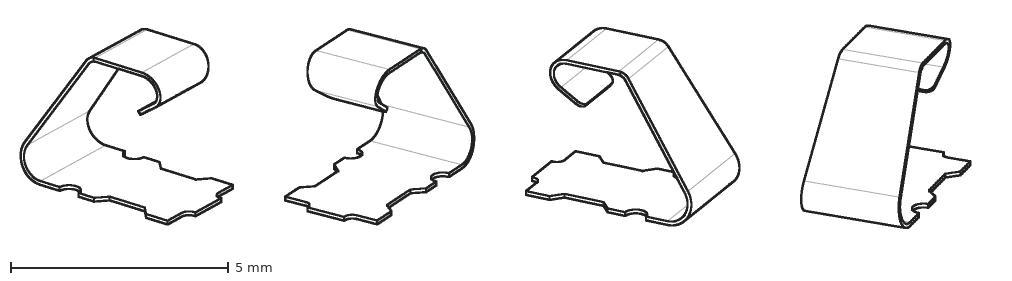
import cadquery as cq
import math

length = 4.5
width = 2.5
height = 3.5
thickness = 0.1

heel_radius = 0.6
shoulder_radius = 0.3
shoulder_x = 1.985
hook_radius = 0.475
hook_x = 3.335
hook_tail_angle = 35.3
hook_tail_length = 0.675
hook_corner_radius = 0.2

top_width = 2.0
edge_band = 0.02
blend_start = 1.945
blend_end = 2.045
hook_taper = 0.17

notch_x = 1.425
notch_radius = 0.27
waist_start = 2.15
waist_end = 3.65
waist_run = 0.245
waist_depth = 0.27
tab_width = 1.0
tab_corner_radius = 0.2
tab_start = 4.265


def polar(center, radius, angle):
    """Point in the XZ plane at an angle in degrees from +X."""
    a = math.radians(angle)
    return (center[0] + radius * math.cos(a), center[1] + radius * math.sin(a))


heel = (heel_radius, heel_radius)
shoulder = (shoulder_x, height - shoulder_radius)
hook = (hook_x, height - hook_radius)
rise = shoulder[1] - heel[1]
run = shoulder[0] - heel[0]
wall_angle = math.degrees(
    math.atan2(rise, run) - math.asin((heel_radius - shoulder_radius) / math.hypot(rise, run))
)
wall_normal = wall_angle + 90
tail_normal = hook_tail_angle - 90
tail_direction = hook_tail_angle + 180


def tail_end(inset):
    """End of the hook tail on the sheet face set in from the outer face."""
    return polar(polar(hook, hook_radius - inset, tail_normal), hook_tail_length, tail_direction)


def bend(path, center, radius, start, end):
    """Line to the start of a bend, then an arc between the two angles."""
    return path.lineTo(*polar(center, radius, start)).threePointArc(
        polar(center, radius, (start + end) / 2), polar(center, radius, end)
    )


def bent_sheet():
    """Constant-width strip: up the outer face, then back along the inner face."""
    bends = [
        (heel, heel_radius, 270, wall_normal),
        (shoulder, shoulder_radius, wall_normal, 90),
        (hook, hook_radius, 90, tail_normal),
    ]
    path = cq.Workplane("XZ").moveTo(length, 0)
    for center, radius, start, end in bends:
        path = bend(path, center, radius, start, end)
    path = path.lineTo(*tail_end(0)).lineTo(*tail_end(thickness))
    for center, radius, start, end in reversed(bends):
        path = bend(path, center, radius - thickness, end, start)
    return path.lineTo(length, thickness).close().extrude(width / 2, both=True)


def width_limit(stations, x_start, x_end):
    """Symmetric block along X with the given (half width, z) stations."""
    mirrored = [(-y, z) for y, z in reversed(stations)]
    return (
        cq.Workplane("YZ", origin=(x_start, 0, 0))
        .polyline(stations + mirrored)
        .close()
        .extrude(x_end - x_start)
    )


def hook_half_width(z):
    """Half width of the strip at a height on the hook, below its straight edge band."""
    return top_width / 2 - hook_taper * (height - edge_band - z)


def strip_limits():
    """Envelope that sets the strip width along the foot, wall and hook."""
    foot = cq.Workplane("XY").box(length, width, thickness, centered=(False, True, False))
    wall = width_limit(
        [(width / 2, 0), (width / 2, thickness), (top_width / 2, height)], 0, blend_start
    )
    hook_drop = height / 2
    hook_block = width_limit(
        [
            (hook_half_width(height - hook_drop), height - hook_drop),
            (top_width / 2, height - edge_band),
            (top_width / 2, height),
        ],
        blend_start,
        length,
    )
    blend_half_end = hook_half_width(height - thickness)
    blend = (
        cq.Workplane("XY", origin=(0, 0, height - 2 * thickness))
        .moveTo(blend_start, -top_width / 2)
        .lineTo(blend_end, -blend_half_end)
        .lineTo(blend_end, blend_half_end)
        .lineTo(blend_start, top_width / 2)
        .close()
        .extrude(2 * thickness)
    )
    return foot.union(wall).union(hook_block).union(blend)


def edge_cutouts(side):
    """Round notch, waist and tab corner along one long edge of the foot."""
    edge = side * width / 2
    waist_y = edge - side * waist_depth
    tab_y = side * tab_width / 2
    plane = cq.Workplane("XY")
    notch = plane.center(notch_x, edge).circle(notch_radius).extrude(thickness)
    waist = (
        plane.moveTo(waist_start, edge)
        .lineTo(waist_start + waist_run, waist_y)
        .lineTo(waist_end - waist_run, waist_y)
        .lineTo(waist_end, edge)
        .close()
        .extrude(thickness)
    )
    arc_center = (tab_start + tab_corner_radius, tab_y + side * tab_corner_radius)
    tab_corner = (
        plane.moveTo(tab_start, edge)
        .lineTo(tab_start, arc_center[1])
        .threePointArc(polar(arc_center, tab_corner_radius, -side * 135), (arc_center[0], tab_y))
        .lineTo(length, tab_y)
        .lineTo(length, edge)
        .close()
        .extrude(thickness)
    )
    return notch.union(waist).union(tab_corner)


def round_tail_corners(body):
    """Round the two free corners at the end of the hook tail."""
    tip_x = (tail_end(0)[0] + tail_end(thickness)[0]) / 2
    tip_z = (tail_end(0)[1] + tail_end(thickness)[1]) / 2
    half = hook_half_width(tip_z)
    for side in (-1, 1):
        corner = cq.selectors.NearestToPointSelector((tip_x, side * half, tip_z))
        body = body.edges(corner).fillet(hook_corner_radius)
    return body


result = bent_sheet().intersect(strip_limits())
for side in (-1, 1):
    result = result.cut(edge_cutouts(side))
result = round_tail_corners(result)